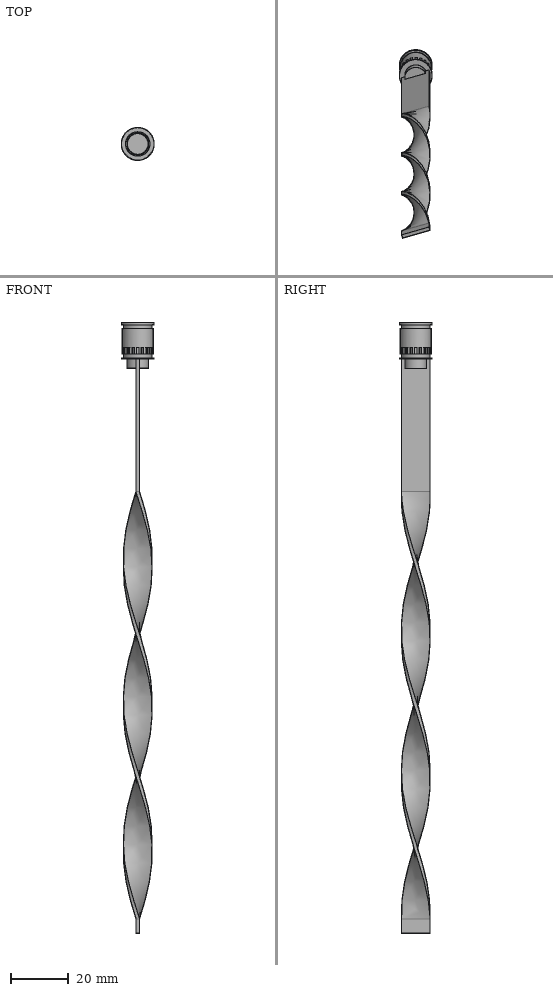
import cadquery as cq

total_length = 212.5
top_z = total_length / 2

cap_height = 12.8
flange_diameter = 11.5
upper_flange_height = 0.8
lower_flange_height = 0.5
barrel_diameter = 10.8
neck_diameter = 10.0
neck_height = 1.3
bore_chamfer = 0.5
cap_bottom_z = top_z - cap_height

notch_count = 20
notch_width = 0.8
notch_depth = 0.6
notch_height = 2.3

core_diameter = 7.6
core_length = 16.0
core_chamfer = 0.2

strip_width = 10.0
strip_thickness = 1.3
twist_length = 148.5
lower_flat_length = 5.0
upper_flat_length = total_length - cap_height - twist_length - lower_flat_length
twist_angle = -540.0


def disc(diameter, bottom_z, height):
    return cq.Workplane("XY").workplane(offset=bottom_z).circle(diameter / 2).extrude(height)


def strip_section(bottom_z):
    return cq.Workplane("XY").workplane(offset=bottom_z).rect(strip_thickness, strip_width)


def notches(bottom_z, height, outer_diameter):
    """Radial boxes evenly spaced around the axis, cutting into a round wall."""
    return (
        cq.Workplane("XY")
        .workplane(offset=bottom_z)
        .polarArray(outer_diameter / 2, 0, 360, notch_count)
        .rect(2 * notch_depth, notch_width)
        .extrude(height)
    )


def make_cap():
    barrel_bottom_z = cap_bottom_z + lower_flange_height + neck_height
    barrel_height = cap_height - lower_flange_height - upper_flange_height - 2 * neck_height
    cap = disc(neck_diameter, cap_bottom_z, cap_height)
    cap = cap.union(disc(flange_diameter, cap_bottom_z, lower_flange_height))
    cap = cap.union(disc(flange_diameter, top_z - upper_flange_height, upper_flange_height))
    cap = cap.union(disc(barrel_diameter, barrel_bottom_z, barrel_height))
    cap = cap.cut(notches(barrel_bottom_z, notch_height, barrel_diameter))
    cap = cap.cut(disc(core_diameter, cap_bottom_z, cap_height))
    bore_rim = cq.selectors.RadiusNthSelector(0)
    return cap.faces(">Z").edges(bore_rim).chamfer(bore_chamfer)


def make_core():
    core = disc(core_diameter, top_z - core_length, core_length)
    core = core.faces(">Z").edges().chamfer(core_chamfer)
    slot = strip_section(top_z - core_length).extrude(core_length - cap_height)
    return core.cut(slot)


def make_strip():
    bottom_z = top_z - total_length
    twist_bottom_z = bottom_z + lower_flat_length
    lower_flat = strip_section(bottom_z).extrude(lower_flat_length)
    twist = strip_section(twist_bottom_z).twistExtrude(twist_length, twist_angle)
    upper_flat = strip_section(twist_bottom_z + twist_length).extrude(upper_flat_length)
    return lower_flat.union(twist).union(upper_flat)


cap = make_cap()
core = make_core()
strip = make_strip()
result = cq.Compound.makeCompound([cap.val(), core.val(), strip.val()])